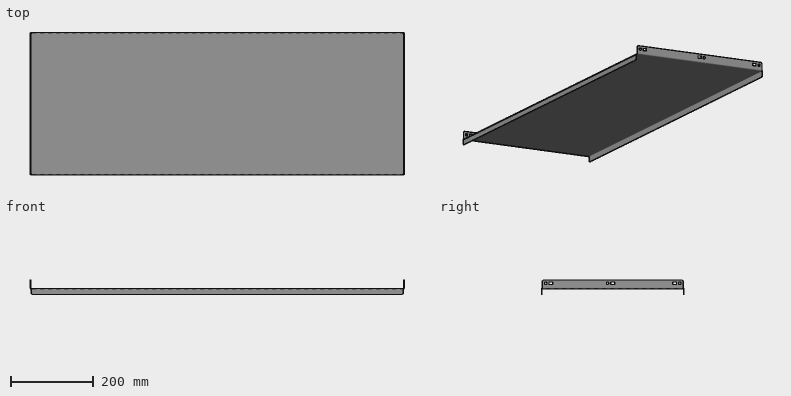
import cadquery as cq

LENGTH = 906.0
WIDTH = 346.0
HEIGHT = 35.5
SHEET = 1.5
INNER_RADIUS = 1.0
LIP_DROP = 15.0

LIP_END_GAP = 2.2
LIP_CHAMFER = 3.0
FLANGE_END_GAP = 2.0
FLANGE_CHAMFER = 3.0

HOLE_DROP = 8.0
HOLE_SIZE = 5.5
SLOT_LENGTH = 8.5
SLOT_PITCH = 150.0
HOLE_OFFSET = 12.4

OUTER_RADIUS = INNER_RADIUS + SHEET
FLAT_LENGTH = LENGTH - 2 * OUTER_RADIUS
FLAT_WIDTH = WIDTH - 2 * OUTER_RADIUS
FLANGE_RISE = HEIGHT - LIP_DROP + SHEET
FLANGE_WIDTH = WIDTH - 2 * FLANGE_END_GAP
LIP_LENGTH = LENGTH - 2 * LIP_END_GAP
HOLE_Z = FLANGE_RISE - HOLE_DROP


def bent_wall(plane, bend_start, rise, wall_length):
    """Bend and straight leg rising from the panel edge, centred on the plane."""
    outside = bend_start + OUTER_RADIUS
    inside = bend_start + INNER_RADIUS
    return (
        cq.Workplane(plane)
        .moveTo(bend_start, 0)
        .radiusArc((outside, OUTER_RADIUS), -OUTER_RADIUS)
        .lineTo(outside, rise)
        .lineTo(inside, rise)
        .lineTo(inside, OUTER_RADIUS)
        .radiusArc((bend_start, SHEET), INNER_RADIUS)
        .close()
        .extrude(wall_length / 2, both=True)
    )


def end_flange():
    """Upturned flange at the +X end with bevelled top corners."""
    flange = bent_wall("XZ", FLAT_LENGTH / 2, FLANGE_RISE, FLANGE_WIDTH)
    return flange.edges("|X").edges(">Z").chamfer(FLANGE_CHAMFER)


def side_lip():
    """Downturned lip at the +Y side with bevelled bottom corners."""
    lip = bent_wall("YZ", FLAT_WIDTH / 2, LIP_DROP, LIP_LENGTH)
    lip = lip.edges("|Y").edges(">Z").chamfer(LIP_CHAMFER)
    return lip.mirror("XY").translate((0, 0, SHEET))


def fixing_holes():
    """Cutters through both flanges: three slots, each with a round hole beside it."""
    slot_places = [(y, HOLE_Z) for y in (-SLOT_PITCH, 0, SLOT_PITCH)]
    hole_rows = (-SLOT_PITCH - HOLE_OFFSET, -HOLE_OFFSET, SLOT_PITCH + HOLE_OFFSET)
    hole_places = [(y, HOLE_Z) for y in hole_rows]
    cut_plane = cq.Workplane("YZ")
    slots = cut_plane.pushPoints(slot_places).rect(SLOT_LENGTH, HOLE_SIZE).extrude(LENGTH, both=True)
    holes = cut_plane.pushPoints(hole_places).circle(HOLE_SIZE / 2).extrude(LENGTH, both=True)
    return slots.union(holes)


panel = cq.Workplane("XY").box(FLAT_LENGTH, FLAT_WIDTH, SHEET, centered=(True, True, False))
flange = end_flange()
lip = side_lip()
shelf = panel.union(flange).union(flange.mirror("YZ")).union(lip).union(lip.mirror("XZ"))
result = shelf.cut(fixing_holes())